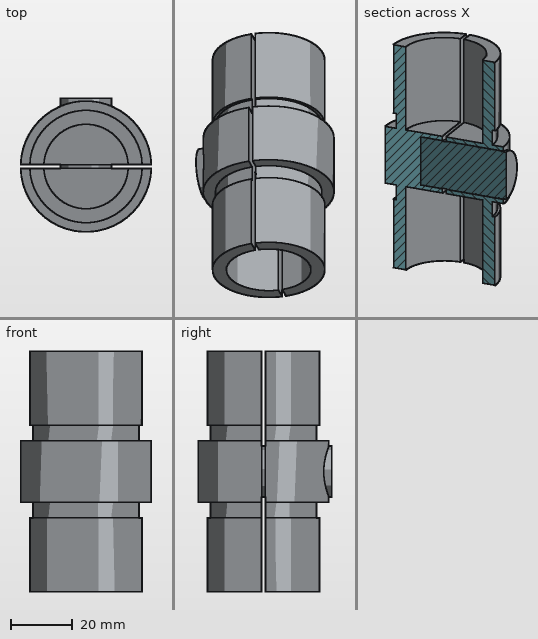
import cadquery as cq

total_length = 78.0
collar_height = 20.0
groove_height = 5.0
neck_span = collar_height + 2 * groove_height

sleeve_diameter = 36.4
groove_diameter = 34.5
collar_diameter = 42.4
bore_diameter = 27.4

web_height = collar_height

split_gap = 1.25

pin_diameter = 16.6
pin_outer_y = 22.15
pin_insertion = 7.8
pin_inner_y = -split_gap / 2 - pin_insertion


def centred_cylinder(diameter, height):
    """Cylinder along Z, centred on the origin."""
    return cq.Workplane("XY").circle(diameter / 2).extrude(height / 2, both=True)


def make_pin():
    """Cross pin that bridges the split and stands proud of the collar at +Y."""
    return (
        cq.Workplane("XZ", origin=(0, pin_outer_y, 0))
        .circle(pin_diameter / 2)
        .extrude(pin_outer_y - pin_inner_y)
    )


def make_full_housing():
    """Grooved sleeve with a collar, bored from both ends down to the web."""
    sleeve = centred_cylinder(sleeve_diameter, total_length)
    neck_ring = centred_cylinder(sleeve_diameter, neck_span).cut(
        centred_cylinder(groove_diameter, neck_span)
    )
    collar = centred_cylinder(collar_diameter, collar_height)
    bores = centred_cylinder(bore_diameter, total_length).cut(
        centred_cylinder(bore_diameter, web_height)
    )
    return sleeve.cut(neck_ring).union(collar).cut(bores)


def make_housing_half(side):
    """Half of the housing on the given side of the split (+1 or -1 along Y)."""
    half_depth = collar_diameter / 2
    keep_region = cq.Workplane("XY").box(collar_diameter, half_depth, total_length).translate(
        (0, side * (split_gap + half_depth) / 2, 0)
    )
    return make_full_housing().intersect(keep_region).cut(make_pin()).solids()


housing_halves = [make_housing_half(side) for side in (-1, 1)]
cross_pin = make_pin()

result = cq.Compound.makeCompound([*(half.val() for half in housing_halves), cross_pin.val()])